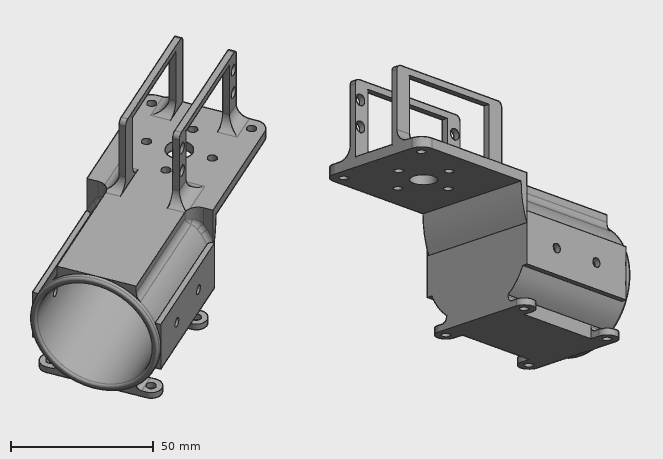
import cadquery as cq
import math


tube_radius = 24.3
bore_radius = 21.7
wall = tube_radius - bore_radius
tube_length = 52.5
mouth_fillet = 1.0
lip_length = wall

total_length = 105.5
deck_width = 47.7
deck_center_x = -0.2
deck_top = tube_radius
deck_thickness = 3.9
deck_corner = 5.0
web_thickness = 2.8
web_arc_radius = 40.0
web_end = tube_length + web_thickness

spine_width = 30.0
blend = 5.0
web_blend = 2.0

screw_hole = 3.5
center_hole = 10.0
pattern_radius = 12.5
pattern_center_y = 79.9

handle_top = 53.7
handle_center_x = -0.5
handle_gap = 17.7
handle_thickness = 2.5
handle_corner = 2.0
handle_bar = 2.5
window_length = 40.1
handle_leg = (total_length - tube_length - window_length) / 2
handle_hole = 4.2
handle_hole_spacing = 47.7
handle_hole_heights = (11.9, 21.9)

pad_height = 19.9
pad_hole_spacing = 20.0

foot_width = 8.1
foot_thickness = 2.5
foot_hole_x = 19.0
foot_fillet = 2.0


def box(x_range, y_range, z_range):
    """Box spanning the given (low, high) ranges."""
    spans = [high - low for low, high in (x_range, y_range, z_range)]
    corner = (x_range[0], y_range[0], z_range[0])
    return cq.Workplane("XY").box(*spans, centered=False).translate(corner)


def mirrored(half_width):
    """Range centered on zero."""
    return (-half_width, half_width)


def z_holes(points, diameter, z_range):
    """Vertical drills at the given (x, y) points."""
    depth = z_range[1] - z_range[0]
    plane = cq.Workplane("XY", origin=(0, 0, z_range[0]))
    return plane.pushPoints(points).circle(diameter / 2).extrude(depth)


def x_holes(points, diameter, x_range):
    """Drills along X at the given (y, z) points."""
    depth = x_range[1] - x_range[0]
    plane = cq.Workplane("YZ", origin=(x_range[0], 0, 0))
    return plane.pushPoints(points).circle(diameter / 2).extrude(depth)


def y_cylinder(radius, start, end):
    """Cylinder on the tube axis between two Y positions."""
    plane = cq.Workplane("XZ", origin=(0, start, 0))
    return plane.circle(radius).extrude(start - end)


def nearest_edges(solid, points):
    """The edge of the solid closest to each point."""
    selectors = [cq.selectors.NearestToPointSelector(point) for point in points]
    return [solid.edges(selector).val() for selector in selectors]


deck_x = (deck_center_x - deck_width / 2, deck_center_x + deck_width / 2)


def make_saddle():
    """Tube, spine and web with the concave blends between them."""
    oversize = 2 * tube_radius
    tube = y_cylinder(tube_radius, lip_length, tube_length)
    spine = box(mirrored(spine_width / 2), (lip_length, tube_length), (0, deck_top))
    web = box(mirrored(oversize), (tube_length, web_end), (-oversize, deck_top))
    saddle = tube.union(spine).union(web)

    half = spine_width / 2
    crease_z = math.sqrt(tube_radius**2 - half**2)
    web_corners = [(x, tube_length, (crease_z + deck_top) / 2) for x in (-half, half)]
    tube_creases = [(x, (lip_length + tube_length) / 2, crease_z) for x in (-half, half)]
    saddle = saddle.newObject(nearest_edges(saddle, web_corners + tube_creases)).fillet(blend)
    tube_end = nearest_edges(saddle, [(0, tube_length, -tube_radius)])
    return saddle.newObject(tube_end).fillet(web_blend)


def trim_to_deck(saddle):
    """Cut the web to the deck width, with an arc leading from the plate down to the tube."""
    arc_z = deck_top - deck_thickness
    plane = cq.Workplane("YZ", origin=(deck_x[0], 0, 0))
    arc = plane.center(web_end - web_arc_radius, arc_z).circle(web_arc_radius).extrude(deck_width)
    above = box(deck_x, (0, web_end), (arc_z, deck_top))
    below = box(deck_x, (0, web_end), (0, arc_z)).intersect(arc)
    return saddle.intersect(above.union(below))


def make_plan(z_range):
    """Plan of spine and deck, with blended inner corners and rounded rear corners."""
    half = spine_width / 2
    spine = box(mirrored(half), (lip_length, web_end), z_range)
    deck = box(deck_x, (tube_length, total_length), z_range)
    plan = spine.union(deck)
    inner_corners = [(x, tube_length, sum(z_range) / 2) for x in (-half, half)]
    plan = plan.newObject(nearest_edges(plan, inner_corners)).fillet(blend)
    return plan.edges("|Z and >Y").fillet(deck_corner)


def make_deck():
    """Plate behind the tube with a large center hole, four around it and two rear corner holes."""
    z_range = (deck_top - deck_thickness, deck_top)
    plate = make_plan(z_range).intersect(box(deck_x, (tube_length, total_length), z_range))
    corner_offset = deck_width / 2 - deck_corner
    points = [(deck_center_x + side * corner_offset, total_length - deck_corner) for side in (-1, 1)]
    for side in (-1, 1):
        points.append((deck_center_x + side * pattern_radius, pattern_center_y))
        points.append((deck_center_x, pattern_center_y + side * pattern_radius))
    plate = plate.cut(z_holes(points, screw_hole, z_range))
    return plate.cut(z_holes([(deck_center_x, pattern_center_y)], center_hole, z_range))


def make_handle(side):
    """Upright frame (side = -1 or 1) whose legs flare into the deck outwards and lengthwise."""
    base = deck_top
    knee = base + blend
    inner = side * handle_gap / 2
    outer = side * (handle_gap / 2 + handle_thickness)
    toe = outer + side * blend
    section = (
        cq.Workplane("XZ", origin=(handle_center_x, total_length, 0))
        .moveTo(inner, base)
        .lineTo(inner, handle_top)
        .lineTo(outer, handle_top)
        .lineTo(outer, knee)
        .tangentArcPoint((toe, base), relative=False)
        .close()
        .extrude(total_length)
    )
    window_start = tube_length + handle_leg
    window_end = window_start + window_length
    window_top = handle_top - handle_bar
    elevation = (
        cq.Workplane("YZ", origin=(-tube_radius, 0, 0))
        .moveTo(tube_length, handle_top)
        .lineTo(tube_length, knee)
        .tangentArcPoint((tube_length - blend, base), relative=False)
        .lineTo(window_start + blend, base)
        .radiusArc((window_start, knee), blend)
        .lineTo(window_start, window_top)
        .lineTo(window_end, window_top)
        .lineTo(window_end, knee)
        .tangentArcPoint((window_end - blend, base), relative=False)
        .lineTo(total_length, base)
        .lineTo(total_length, handle_top)
        .close()
        .extrude(2 * tube_radius)
        .faces(">Z")
        .edges("|X")
        .fillet(handle_corner)
    )
    return section.intersect(elevation).intersect(make_plan((base, handle_top)))


def make_handle_holes():
    """Two holes in each leg of the +X handle."""
    mid_y = (tube_length + total_length) / 2
    points = [
        (mid_y + side * handle_hole_spacing / 2, deck_top + height)
        for side in (-1, 1)
        for height in handle_hole_heights
    ]
    return x_holes(points, handle_hole, (0, tube_radius))


def make_base():
    """Flat-sided block under the tube with a foot at each corner."""
    half = spine_width / 2
    bottom = -tube_radius
    foot_top = bottom + foot_thickness
    base = box(mirrored(half), (lip_length, tube_length), (bottom, 0))
    foot_ys = (lip_length + foot_width / 2, tube_length - foot_width / 2)
    for y in foot_ys:
        plane = cq.Workplane("XY", origin=(0, y, bottom))
        base = base.union(plane.slot2D(2 * foot_hole_x + foot_width, foot_width).extrude(foot_thickness))
    creases = [(x, y, foot_top) for x in (-half, half) for y in foot_ys]
    base = base.newObject(nearest_edges(base, creases)).fillet(foot_fillet)
    holes = [(x, y) for x in (-foot_hole_x, foot_hole_x) for y in foot_ys]
    return base.cut(z_holes(holes, screw_hole, (bottom, foot_top)))


def make_side_pads():
    """Flat pads on both sides of the tube."""
    return box(mirrored(tube_radius), (lip_length, tube_length), mirrored(pad_height / 2))


def make_bore():
    """Blind bore that leaves a wall at the rear end of the tube."""
    return y_cylinder(bore_radius, 0, tube_length - wall)


def make_tube():
    """Cup with both rims of its mouth rounded."""
    cup = y_cylinder(tube_radius, 0, tube_length).cut(make_bore())
    return cup.faces("<Y").edges().fillet(mouth_fillet)


def make_pad_holes():
    """Two holes running through both side pads and the tube."""
    mid_y = (lip_length + tube_length) / 2
    points = [(mid_y + side * pad_hole_spacing / 2, 0) for side in (-1, 1)]
    return x_holes(points, screw_hole, mirrored(tube_radius))


body = make_tube().union(trim_to_deck(make_saddle())).union(make_side_pads()).union(make_base())
body = body.union(make_deck()).union(make_handle(-1)).union(make_handle(1))
result = body.cut(make_bore()).cut(make_pad_holes()).cut(make_handle_holes())